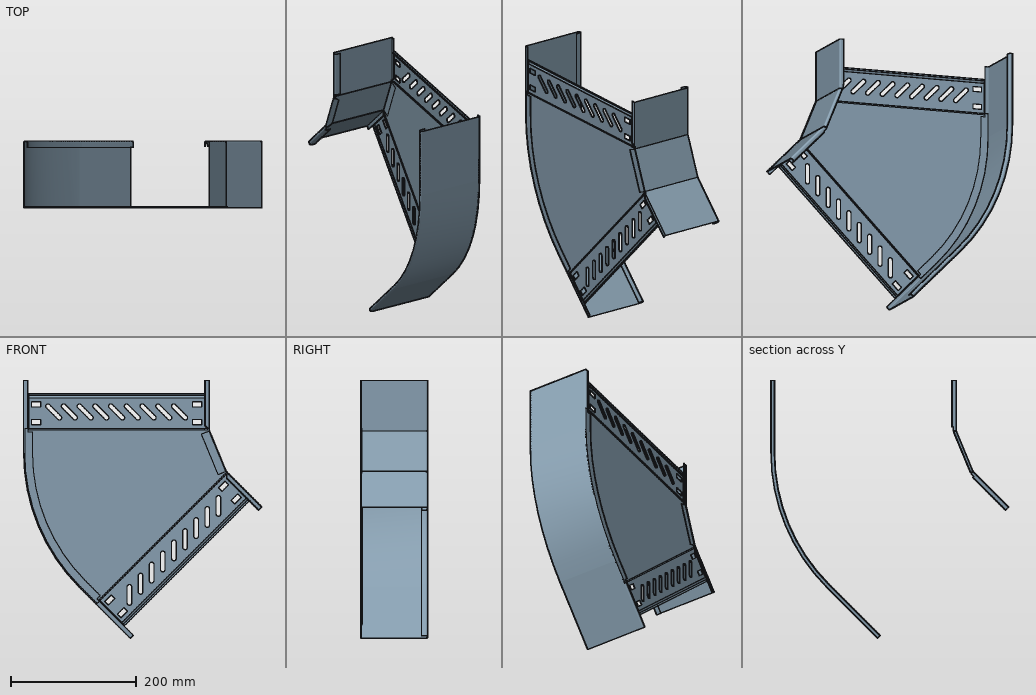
import cadquery as cq
import math


bend_angle = 45.0
tray_width = 296.0
outer_radius = 301.5
end_length = 115.0
height = 107.0
sheet = 1.2

flange_width = 7.0
wide_flange = 14.5
outer_bottom_radius = 2.0
lip_bend_radius = 3.3
outer_lip_width = 7.0
inner_lip_width = 8.0
slanted_lip_width = 5.7
outer_hook_depth = 10.2
inner_hook_depth = 9.5

inner_corner_depth = 80.0
wide_flange_depth = 82.0
flange_chamfer_depth = 71.5
flange_chamfer = 4.5
hook_gap = 6.0

strip_clearance = 1.2
strip_end_depth = 21.0
bead_top_depth = 23.8
bead_start_depth = 27.5
bead_rise = 1.5
joggle_start_depth = 76.5
joggle_end_depth = 78.5

slot_count = 9
slot_pitch = 25.0
slot_length = 32.8
slot_width = 7.0
slot_angle = -45.0
slot_depth = 50.0
window_length = 14.5
window_width = 7.8
window_spacing_across = 255.7
window_spacing_along = 28.3
window_depth = 52.0

half_angle = math.radians(bend_angle / 2)
cos_half = math.cos(half_angle)
sin_half = math.sin(half_angle)
inner_offset = outer_radius - tray_width
corner_z = end_length - inner_corner_depth
half_middle = inner_offset * sin_half + corner_z * cos_half
middle_offset = inner_offset * cos_half - corner_z * sin_half
strip_left = -outer_radius + flange_width + strip_clearance
strip_right = -inner_offset - flange_width - strip_clearance
strip_center = (strip_left + strip_right) / 2


def on_bisector(distance):
    """Point of the bisector plane at a distance from the bend axis, toward the outer wall."""
    return (-distance * cos_half, -distance * sin_half)


def plan(y):
    """Workplane in X and Z at height y, extruding toward +Y when given a negative length."""
    return cq.Workplane("XZ", origin=(0, y, 0))


def mirrored_whole(half):
    """Complete a half body by its mirror image in the bisector plane."""
    other = half.val().mirror(cq.Vector(-sin_half, 0, cos_half), cq.Vector(0, 0, 0))
    return half.union(cq.Workplane(other), clean=True).solids()


def bend(section, center, radius, start_angle, end_angle):
    """Add a circular sheet bend that starts at the current point."""
    points = []
    for angle in ((start_angle + end_angle) / 2, end_angle):
        turn = math.radians(angle)
        points.append((center[0] + radius * math.cos(turn), center[1] + radius * math.sin(turn)))
    return section.threePointArc(*points)


def wall_section(plane, lip_width, hook_depth, bottom_radius=0):
    """Bent C section: bottom flange, web, top lip and hook; local x runs from the outside face inward."""
    bottom_center = (bottom_radius, bottom_radius)
    lip_center = (lip_bend_radius, height - lip_bend_radius)
    lip_inside = lip_bend_radius - sheet
    hook_radius = min(lip_bend_radius, lip_width - lip_bend_radius)
    hook_inside = hook_radius - sheet
    hook_center = (lip_width - hook_radius, height - hook_radius)
    hook_end = height - hook_depth

    section = cq.Workplane(plane).moveTo(flange_width, 0).lineTo(bottom_radius, 0)
    if bottom_radius > 0:
        section = bend(section, bottom_center, bottom_radius, 270, 180)
    section = section.lineTo(0, lip_center[1])
    section = bend(section, lip_center, lip_bend_radius, 180, 90)
    if hook_center[0] > lip_center[0]:
        section = section.lineTo(hook_center[0], height)
    section = bend(section, hook_center, hook_radius, 90, 0)
    section = section.lineTo(lip_width, hook_end)

    section = section.lineTo(lip_width - sheet, hook_end).lineTo(lip_width - sheet, hook_center[1])
    section = bend(section, hook_center, hook_inside, 0, 90)
    if hook_center[0] > lip_center[0]:
        section = section.lineTo(lip_center[0], height - sheet)
    section = bend(section, lip_center, lip_inside, 90, 180)
    if bottom_radius > 0:
        section = section.lineTo(sheet, bottom_radius)
        section = bend(section, bottom_center, bottom_radius - sheet, 180, 270)
    else:
        section = section.lineTo(sheet, sheet)
    return section.lineTo(flange_width, sheet).close()


def outer_wall_flange():
    """Half of the wide flange that carries the floor around the bend."""
    start_z = end_length - wide_flange_depth
    outside = outer_radius - outer_bottom_radius
    inside = outer_radius - wide_flange
    quarter = half_angle / 2
    return (
        plan(0)
        .moveTo(-outside, start_z)
        .lineTo(-outside, 0)
        .threePointArc((-outside * math.cos(quarter), -outside * math.sin(quarter)), on_bisector(outside))
        .lineTo(*on_bisector(inside))
        .threePointArc((-inside * math.cos(quarter), -inside * math.sin(quarter)), (-inside, 0))
        .lineTo(-inside, start_z)
        .close()
        .extrude(-sheet)
    )


def make_outer_wall():
    """Wall with straight ends and a curved middle."""
    plane = cq.Plane(origin=(-outer_radius, 0, 0), xDir=(1, 0, 0), normal=(0, 0, 1))
    straight = wall_section(plane, outer_lip_width, outer_hook_depth, outer_bottom_radius).extrude(end_length)
    curved = wall_section(plane, outer_lip_width, outer_hook_depth, outer_bottom_radius).revolve(
        bend_angle / 2, (outer_radius, 0, 0), (outer_radius, -1, 0)
    )
    return mirrored_whole(straight.union(curved).union(outer_wall_flange()))


def inner_corner(inset):
    """Fold point of the inner wall, moved inward from its outside face."""
    return (-inner_offset - inset, corner_z - inset * math.tan(half_angle / 2))


def inner_web_fold():
    """Web strip across the fold, filling the wedge between the two straight sections."""
    return (
        plan(0)
        .polyline([
            (-inner_offset, end_length),
            inner_corner(0),
            on_bisector(middle_offset),
            on_bisector(middle_offset + sheet),
            inner_corner(sheet),
            (-inner_offset - sheet, end_length),
        ])
        .close()
        .extrude(lip_bend_radius - height)
    )


def flange_corner_cut():
    """Clears the end flange next to the fold, leaving its corner chamfered."""
    flange_edge = -inner_offset - flange_width
    chamfer_z = end_length - flange_chamfer_depth
    return (
        plan(0)
        .polyline([
            (flange_edge, chamfer_z),
            (flange_edge + flange_chamfer, chamfer_z - flange_chamfer),
            (-inner_offset - sheet, chamfer_z - flange_chamfer),
            (-inner_offset - sheet, corner_z),
            (flange_edge, corner_z),
        ])
        .close()
        .extrude(-sheet)
    )


def hook_end_cut():
    """Takes the hook off the end panel next to the fold, down to the lip width of the slanted panel."""
    return (
        plan(height - inner_hook_depth)
        .polyline([
            (-inner_offset - inner_lip_width, corner_z),
            (-inner_offset - slanted_lip_width, corner_z),
            (-inner_offset - slanted_lip_width, corner_z + hook_gap),
            (-inner_offset - inner_lip_width, corner_z + hook_gap),
        ])
        .close()
        .extrude(-inner_hook_depth)
    )


def slanted_plane():
    """Section plane of the slanted panel at the fold; local x runs inward and z along the panel."""
    return cq.Plane(
        origin=(-inner_offset, 0, corner_z),
        xDir=(-cos_half, 0, -sin_half),
        normal=(sin_half, 0, -cos_half),
    )


def slanted_hook_cut():
    """Trims the slanted panel's hook to a taper next to the fold."""
    hook_inside = slanted_lip_width - sheet
    side = cq.Workplane(slanted_plane()).transformed(rotate=(0, 90, 0), offset=(hook_inside, 0, 0))
    return (
        side
        .polyline([
            (0, height - lip_bend_radius),
            (0, height - inner_hook_depth),
            (-hook_gap, height - inner_hook_depth),
        ])
        .close()
        .extrude(sheet)
    )


def make_inner_wall():
    """Wall folded twice, with flange and lip interrupted at the folds."""
    end_plane = cq.Plane(origin=(-inner_offset, 0, corner_z), xDir=(-1, 0, 0), normal=(0, 0, -1))
    end_panel = wall_section(end_plane, inner_lip_width, inner_hook_depth).extrude(-inner_corner_depth)
    end_panel = end_panel.cut(flange_corner_cut()).cut(hook_end_cut())
    middle_plane = slanted_plane()
    middle_panel = wall_section(middle_plane, slanted_lip_width, inner_hook_depth).extrude(half_middle)
    middle_panel = middle_panel.cut(slanted_hook_cut())
    flange = cq.Workplane(middle_plane).rect(wide_flange, sheet, centered=False).extrude(half_middle)
    return mirrored_whole(end_panel.union(inner_web_fold()).union(middle_panel).union(flange))


def floor_plate():
    """Half of the raised plate that lies on the flanges between the walls."""
    radius = outer_radius - outer_bottom_radius
    quarter = half_angle / 2
    front_z = end_length - joggle_start_depth
    return (
        plan(sheet)
        .moveTo(-radius, front_z)
        .lineTo(-radius, 0)
        .threePointArc((-radius * math.cos(quarter), -radius * math.sin(quarter)), on_bisector(radius))
        .lineTo(*on_bisector(middle_offset + sheet))
        .lineTo(*inner_corner(sheet))
        .lineTo(-inner_offset - sheet, front_z)
        .close()
        .extrude(-sheet)
    )


def floor_strip():
    """Strip sunk between the flanges: joggle down from the plate, flat, and a V bead at the free end."""
    underside = [
        (joggle_end_depth, sheet),
        (joggle_start_depth, 0),
        (bead_start_depth, 0),
        (bead_top_depth, bead_rise),
        (strip_end_depth, 0),
    ]
    topside = [(depth, y + sheet) for depth, y in reversed(underside)]
    outline = [(y, end_length - depth) for depth, y in underside + topside]
    return (
        cq.Workplane("YZ", origin=(strip_left, 0, 0))
        .polyline(outline)
        .close()
        .extrude(strip_right - strip_left)
    )


def strip_corner():
    """Widening of the strip beside the joggle that follows the chamfered flange corner of the inner wall."""
    chamfer_z = end_length - flange_chamfer_depth
    joggle_z = end_length - joggle_end_depth
    return (
        plan(0)
        .polyline([
            (strip_right, chamfer_z),
            (strip_right + flange_chamfer, chamfer_z - flange_chamfer),
            (strip_right + flange_chamfer, joggle_z),
            (strip_right, joggle_z),
        ])
        .close()
        .extrude(-sheet)
    )


def perforation():
    """Row of slanted slots with two rectangular windows at each end."""
    slots = (
        plan(0)
        .center(strip_center, end_length - slot_depth)
        .rarray(slot_pitch, 4, slot_count, 1)
        .slot2D(slot_length, slot_width, slot_angle)
        .extrude(-sheet)
    )
    windows = (
        plan(0)
        .center(strip_center, end_length - window_depth)
        .rarray(window_spacing_across, window_spacing_along, 2, 2)
        .rect(window_length, window_width)
        .extrude(-sheet)
    )
    return slots.add(windows).combine()


def make_floor():
    """Plate with a perforated strip toward each end of the elbow."""
    strip = floor_strip().cut(perforation())
    return mirrored_whole(floor_plate().union(strip).union(strip_corner()))


outer_wall = make_outer_wall()
inner_wall = make_inner_wall()
tray_floor = make_floor()

result = cq.Compound.makeCompound([outer_wall.val(), inner_wall.val(), tray_floor.val()])